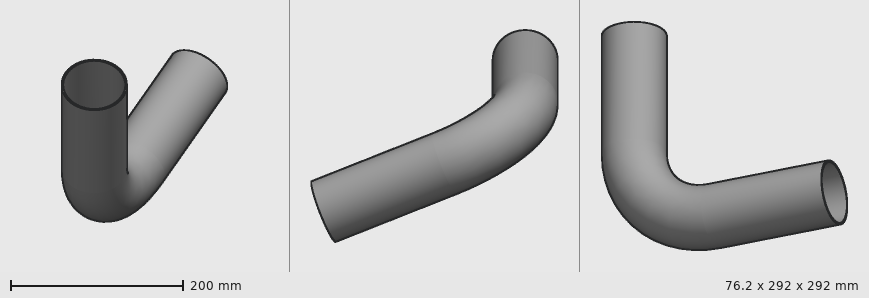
import cadquery as cq
import math

overall_size = 292.0
outer_diameter = 76.2
inner_diameter = 72.0
leg_length = 2 * outer_diameter

bend_radius = overall_size - leg_length - outer_diameter / 2


def bent_rod(diameter):
    """Solid rod: upright leg, quarter bend, then a level leg towards +Y.

    The centre line lies in the YZ plane, with the bend centred on
    (bend_radius, 0) and the upright leg on the Z axis.
    """
    bend_middle = (
        bend_radius * (1 - math.cos(math.pi / 4)),
        -bend_radius * math.sin(math.pi / 4),
    )
    centre_line = (
        cq.Workplane("YZ")
        .moveTo(0, leg_length)
        .lineTo(0, 0)
        .threePointArc(bend_middle, (bend_radius, -bend_radius))
        .lineTo(bend_radius + leg_length, -bend_radius)
    )
    return (
        cq.Workplane("XY", origin=(0, 0, leg_length))
        .circle(diameter / 2)
        .sweep(centre_line)
    )


result = bent_rod(outer_diameter).cut(bent_rod(inner_diameter))